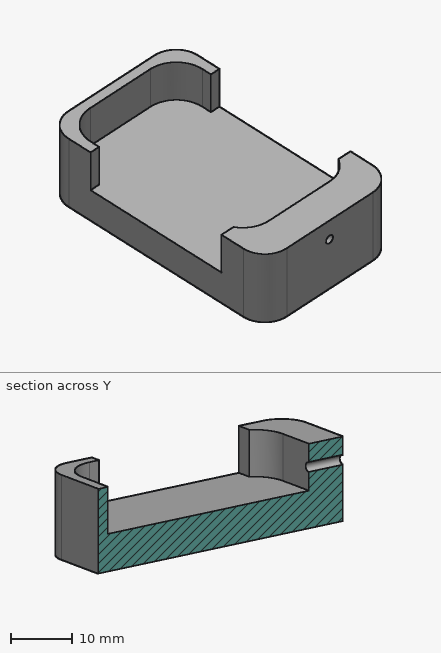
import cadquery as cq

length = 50.0
width = 30.0
height = 14.5
outer_radius = 5.0

floor_height = 6.5
thin_wall = 2.0
thick_wall = 7.0
recess_radius = 6.0

opening_length = 30.0

hole_diameter = 1.6
hole_height = 10.5

recess_depth = height - floor_height
recess_length = length - thin_wall - thick_wall
recess_width = width - 2 * thin_wall
recess_center_x = (thin_wall - thick_wall) / 2


def rounded_block(block_length, block_width, block_height, radius):
    """Block standing on the XY plane with rounded vertical edges."""
    block = cq.Workplane("XY").box(block_length, block_width, block_height, centered=(True, True, False))
    return block.edges("|Z").fillet(radius)


body = rounded_block(length, width, height, outer_radius)

recess = rounded_block(recess_length, recess_width, recess_depth, recess_radius)
recess = recess.translate((recess_center_x, 0, floor_height))

opening = cq.Workplane("XY").box(opening_length, width, recess_depth, centered=(True, True, False))
opening = opening.translate((0, 0, floor_height))

inner_wall_x = length / 2 - thick_wall
wall_hole = (
    cq.Workplane("YZ", origin=(inner_wall_x, 0, hole_height))
    .circle(hole_diameter / 2)
    .extrude(thick_wall)
)

result = body.cut(recess).cut(opening).cut(wall_hole)